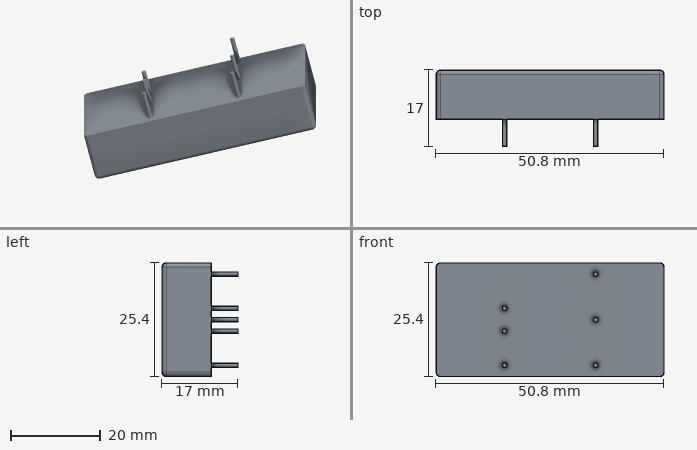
import cadquery as cq

body_length = 50.8
body_height = 25.4
body_depth = 11.0
edge_radius = 1.0
pin_diameter = 1.0
pin_length = 6.0
pin_embed = 1.0
pitch = 2.54

column_x = 4 * pitch
outer_row_z = 4 * pitch
inner_row_z = pitch
pin_positions = [
    (-column_x, inner_row_z),
    (-column_x, -inner_row_z),
    (-column_x, -outer_row_z),
    (column_x, outer_row_z),
    (column_x, 0),
    (column_x, -outer_row_z),
]


def make_body():
    """Potted case, rounded everywhere except around the flat mounting face."""
    block = cq.Workplane("XY").box(
        body_length, body_depth, body_height, centered=(True, False, True)
    )
    return block.edges("|Y or >Y").fillet(edge_radius)


def make_pins():
    """Round pins pointing toward -Y, rooted inside the body."""
    root_plane = cq.Workplane("XZ", origin=(0, pin_embed, 0))
    return (
        root_plane.pushPoints(pin_positions)
        .circle(pin_diameter / 2)
        .extrude(pin_length + pin_embed)
    )


result = make_body().union(make_pins())